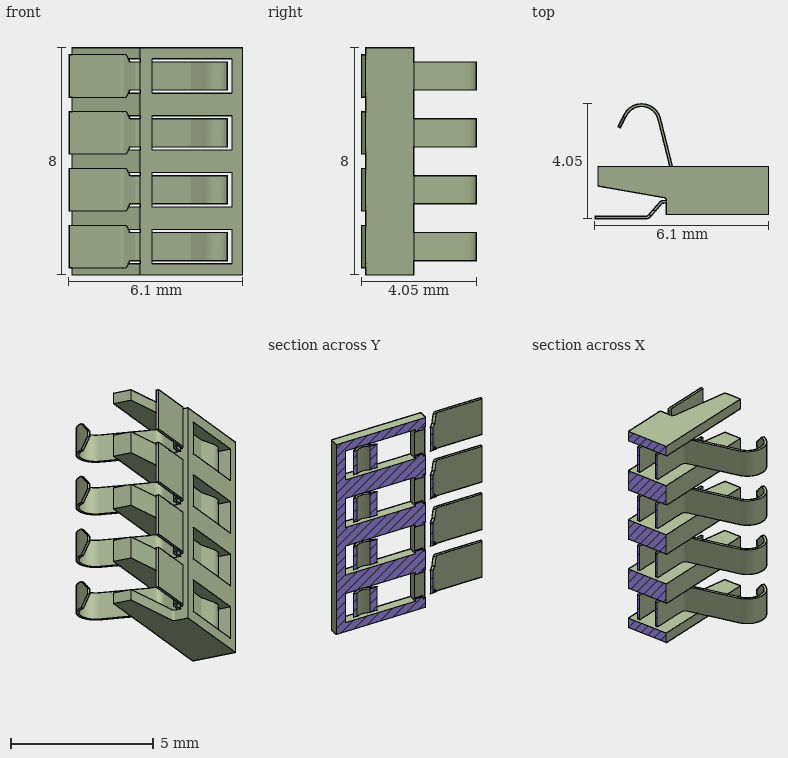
import cadquery as cq
import math

contact_count = 4
pitch = 2.0

overall_length = 6.1
housing_left = 0.1
housing_depth = 1.7
housing_height = contact_count * pitch
step_x = 2.5
rib_tip_depth = 0.7
rib_root_depth = 1.12
root_fillet = 0.08

slot_height = 1.2
slot_depth = 1.4
window_left = 2.92
window_right = 5.72
shoulder_setback = 0.1

strip = 0.1
spring_width = 1.0
pad_width = 1.5
pad_front = -1.85
pad_bend_x = 1.865
neck_bend_x = 2.34
neck_back = -1.2
neck_taper_start = -1.71
neck_taper_end = -1.55
kink_x = 4.3
shortest_straight = 1e-6
bend_radius = 0.15

turn_radius = 0.51
turn_right = 5.52
leg_y = -0.45
arm_foot_x = 2.67
arm_lean = math.radians(14)
arm_bend_radius = 0.25
hook_radius = 0.64
hook_top = 2.15
tip_angle = math.radians(63)
tip_y = 1.37
tip_chamfer = 0.4


def line_crossing(p, p_angle, q, q_angle):
    """Crossing point of two lines, each given by a point and a direction angle."""
    px, py = math.cos(p_angle), math.sin(p_angle)
    qx, qy = math.cos(q_angle), math.sin(q_angle)
    along = ((q[0] - p[0]) * qy - (q[1] - p[1]) * qx) / (px * qy - py * qx)
    return (p[0] + along * px, p[1] + along * py)


def heading(p, q):
    return math.atan2(q[1] - p[1], q[0] - p[0])


def shifted(p, angle, distance):
    return (p[0] + distance * math.cos(angle), p[1] + distance * math.sin(angle))


def strip_profile(start, corners, end):
    """Closed XY outline of a bent strip; corners are (point, centreline radius)."""
    points = [start] + [point for point, _ in corners] + [end]
    left, right = math.pi / 2, -math.pi / 2

    def side(which):
        segments = [shifted(start, heading(points[0], points[1]) + which, strip / 2)]
        for i, (corner, radius) in enumerate(corners):
            before = heading(points[i], corner)
            after = heading(corner, points[i + 2])
            turn = math.remainder(after - before, 2 * math.pi)
            inward = math.copysign(left, turn)
            setback = radius * math.tan(abs(turn) / 2)
            center = shifted(shifted(corner, before, -setback), before + inward, radius)
            side_radius = radius - strip / 2 if which == inward else radius + strip / 2
            for direction in (before, before + turn / 2, after):
                segments.append(shifted(center, direction - inward, side_radius))
        segments.append(shifted(end, heading(points[-2], end) + which, strip / 2))
        return segments

    def trace(outline, segments):
        for i in range(1, len(segments) - 1, 3):
            if math.dist(segments[i - 1], segments[i]) > shortest_straight:
                outline = outline.lineTo(*segments[i])
            outline = outline.threePointArc(segments[i + 1], segments[i + 2])
        return outline.lineTo(*segments[-1])

    left_side = side(left)
    right_side = side(right)
    outline = trace(cq.Workplane("XY").moveTo(*left_side[0]), left_side)
    outline = outline.lineTo(*right_side[-1])
    return trace(outline, right_side[::-1]).close()


def box(x_range, y_range, z_range):
    sizes = [high - low for low, high in (x_range, y_range, z_range)]
    return cq.Workplane("XY").box(*sizes, centered=False).translate((x_range[0], y_range[0], z_range[0]))


def make_housing():
    body = (
        cq.Workplane("XY")
        .polyline([
            (housing_left, 0),
            (housing_left, -rib_tip_depth),
            (step_x, -rib_root_depth),
            (step_x, -housing_depth),
            (overall_length, -housing_depth),
            (overall_length, 0),
        ])
        .close()
        .extrude(housing_height)
    )
    root_edge = cq.selectors.NearestToPointSelector((step_x, -rib_root_depth, housing_height / 2))
    return body.edges(root_edge).fillet(root_fillet)


def make_opening():
    """Material removed for one contact, centred on z = 0."""
    z_range = (-slot_height / 2, slot_height / 2)
    slot = box((housing_left, window_right), (-slot_depth, 0), z_range)
    window = box((window_left, window_right), (-housing_depth, 0), z_range)
    shoulders = box((step_x + shoulder_setback, window_left), (-slot_depth, neck_back), z_range)
    neck_gap = box(
        (step_x, window_left), (-slot_depth, neck_back), (-spring_width / 2, spring_width / 2)
    )
    return slot.union(window).cut(shoulders.cut(neck_gap))


def make_strip_path():
    """Centreline of the contact: start point, bends and end point."""
    pad_y = pad_front + strip / 2
    neck_y = neck_back - strip / 2
    kink = (kink_x, neck_y)

    turn_center = (turn_right - turn_radius, leg_y - turn_radius)
    tilt = heading(kink, turn_center) - math.asin(turn_radius / math.dist(kink, turn_center))
    turn_front = line_crossing(kink, tilt, (turn_right, 0), math.pi / 2)

    arm_angle = math.pi / 2 + arm_lean
    arm_foot = (arm_foot_x, 0)
    arm_bend = line_crossing(arm_foot, arm_angle, (0, leg_y), 0)

    arm_offset = shifted(arm_foot, arm_angle + math.pi / 2, hook_radius)
    hook_center = line_crossing(arm_offset, arm_angle, (0, hook_top - hook_radius), 0)
    tip_tangent = shifted(hook_center, tip_angle + math.pi / 2, hook_radius)
    hook_corner = line_crossing(arm_foot, arm_angle, tip_tangent, tip_angle)
    tip = line_crossing(tip_tangent, tip_angle, (0, tip_y), 0)

    corners = [
        ((pad_bend_x, pad_y), bend_radius),
        ((neck_bend_x, neck_y), bend_radius),
        (kink, bend_radius),
        (turn_front, turn_radius),
        ((turn_right, leg_y), turn_radius),
        (arm_bend, arm_bend_radius),
        (hook_corner, hook_radius),
    ]
    return (0, pad_y), corners, tip


def make_contact():
    """One bent contact, centred on z = 0."""
    start, corners, tip = make_strip_path()
    contact = strip_profile(start, corners, tip).extrude(pad_width / 2, both=True)

    pad_blank = (
        cq.Workplane("YZ")
        .polyline([
            (pad_front, -pad_width / 2),
            (neck_taper_start, -pad_width / 2),
            (neck_taper_end, -spring_width / 2),
            (neck_taper_end, spring_width / 2),
            (neck_taper_start, pad_width / 2),
            (pad_front, pad_width / 2),
        ])
        .close()
        .extrude(step_x)
    )
    spring_blank = box(
        (0, overall_length),
        (pad_front, hook_top + strip),
        (-spring_width / 2, spring_width / 2),
    )
    contact = contact.intersect(spring_blank.union(pad_blank))

    tip_plane = cq.Plane(
        origin=(tip[0], tip[1], 0),
        xDir=(math.cos(tip_angle), math.sin(tip_angle), 0),
        normal=(math.sin(tip_angle), -math.cos(tip_angle), 0),
    )
    for side in (-1, 1):
        edge = side * spring_width / 2
        corner_cut = (
            cq.Workplane(tip_plane)
            .polyline([(0, edge), (tip_chamfer, edge), (0, edge - side * tip_chamfer)])
            .close()
            .extrude(strip, both=True)
        )
        contact = contact.cut(corner_cut)
    return contact


result = make_housing()
opening = make_opening()
contact = make_contact()
for index in range(contact_count):
    position = (0, 0, pitch * (index + 0.5))
    result = result.cut(opening.translate(position)).union(contact.translate(position))